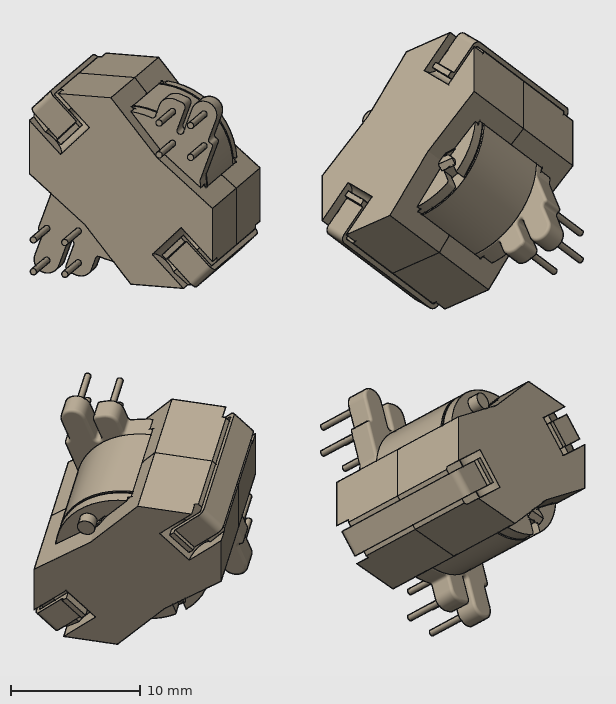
import cadquery as cq
import math

core_half_width = 7.4
core_half_depth = 6.27
corner_reach = 5.33
side_reach = 0.8
flank_kink = 2.92
window_radius = 6.2
window_half_depth = 3.98
post_radius = 3.2
corner_face = (core_half_width + corner_reach) / math.sqrt(2)

seat_half_width = 1.65
groove_radius = 1.19
groove_axis = 6.43
ramp_start = 7.33
ramp_end_depth = 1.22

clip_thickness = 0.39
clip_width = 2.16
clip_half_depth = 5.97
clip_bend_radius = 0.54
clip_arm_end = 6.3
clip_lip_end = 5.78
clip_lip_height = 0.3
clip_lip_lean = 0.06
clip_outer = corner_face + clip_thickness

flange_radius = 6.1
winding_half_length = 3.32
flange_back = 4.42
flange_front = 5.08
flange_edge_radius = 0.24
tube_radius = 3.72
core_gap = 0.12

winding_radius = 6.1

pin_inner = 3.81
pin_outer = 6.36
pin_radius = 0.25
pin_end = 8.62
pin_root = winding_half_length + 0.75

tab_turn = 20
tab_near_side = 0.26
slit_near_side = 2.241
slit_far_side = 2.77
slit_bottom = 6.08
near_tab_end = 8.28
near_tab_top = 7.4
near_tab_level_start = 3.6
near_tab_level_end = 3.72
near_tab_corner = 0.4
lobe_side = 5.32
lobe_end = 6.18
lobe_corner = 0.24
root_along = 2.23
root_fillet = 0.25

peg_radius = 0.68
peg_centre = 3.48
peg_end = 5.35
stub_height = 0.42
stub_end = -3.72
rib_height = 0.42
rib_thickness = 0.24
rib_level_length = 0.68
rib_length = 1.4
notch_near_side = -2.47
notch_far_side = -1.56
notch_bottom = -4.62
notch_mouth = -flange_radius - 0.75
notch_corner = 0.25


def slab(y_low, y_high, plane_turn=0):
    """Workplane facing -Y at y_high, and the thickness down to y_low."""
    turn = math.radians(plane_turn)
    plane = cq.Plane((0, y_high, 0), (math.cos(turn), 0, -math.sin(turn)), (0, -1, 0))
    return cq.Workplane(plane), y_high - y_low


def disc(radius, y_low, y_high):
    work, depth = slab(y_low, y_high)
    return work.circle(radius).extrude(depth)


def half_turn(body):
    """The same body turned half way round the Y axis."""
    return body.rotate((0, 0, 0), (0, 1, 0), 180)


def core_outline(work):
    half = [
        (-corner_reach, core_half_width),
        (-side_reach, core_half_width),
        (flank_kink, flank_kink),
        (core_half_width, -side_reach),
        (core_half_width, -corner_reach),
    ]
    return work.polyline(half + [(-x, -z) for x, z in half]).close()


def corner_plane():
    """Plane through the Y axis: first axis toward the (-X, +Z) corner, second along +Y."""
    return cq.Workplane(cq.Plane((0, 0, 0), (-1, 0, 1), (-1, 0, -1)))


def clip_seat():
    """Cutter for the seat at the (-X, +Z) corner of the -Y face."""
    face = -core_half_depth
    rise = ramp_start - groove_axis
    ramp_start_depth = math.sqrt(groove_radius**2 - rise**2)
    return (
        corner_plane()
        .moveTo(groove_axis - groove_radius, face)
        .threePointArc((groove_axis, face + groove_radius), (ramp_start, face + ramp_start_depth))
        .lineTo(corner_face, face + ramp_end_depth)
        .lineTo(corner_face, face)
        .close()
        .extrude(seat_half_width, both=True)
    )


def make_front_core():
    work, depth = slab(-core_half_depth, 0)
    core = core_outline(work).extrude(depth)
    window = disc(window_radius, -window_half_depth, 0).cut(disc(post_radius, -window_half_depth, 0))
    seat = clip_seat()
    return core.cut(window).cut(seat).cut(half_turn(seat))


def make_clip():
    """Spring clip on the (-X, +Z) corner: a back, two arms and a raised lip at the end of each arm."""
    lip_top = clip_half_depth + clip_lip_height
    arm_inside = clip_half_depth - clip_thickness
    outer_side = [
        (clip_lip_end, -lip_top),
        (clip_arm_end - clip_lip_lean, -lip_top),
        (clip_arm_end, -clip_half_depth),
        (clip_outer, -clip_half_depth),
    ]
    inner_side = [(corner_face, -arm_inside), (clip_lip_end, -arm_inside)]
    points = outer_side + [(u, -y) for u, y in reversed(outer_side)]
    points += [(u, -y) for u, y in reversed(inner_side)] + inner_side
    clip = corner_plane().polyline(points).close().extrude(clip_width / 2, both=True)
    outward = cq.Vector(-1, 0, 1).normalized()
    reach = cq.Vector(0.01, 0.01, 0.01)

    def bend_at(u, y):
        centre = outward * u + cq.Vector(0, y, 0)
        return cq.selectors.BoxSelector((centre - reach).toTuple(), (centre + reach).toTuple())

    for end in (-1, 1):
        clip = clip.edges(bend_at(clip_outer, end * clip_half_depth)).fillet(clip_bend_radius)
        clip = clip.edges(bend_at(corner_face, end * arm_inside)).fillet(clip_bend_radius - clip_thickness)
    return clip


def to_tab_axes(x, z):
    """Across and along positions of a point given by X and Z."""
    turn = math.radians(tab_turn)
    return x * math.cos(turn) - z * math.sin(turn), x * math.sin(turn) + z * math.cos(turn)


def from_tab_axes(across, along):
    """X and Z of a point given by its across and along positions."""
    turn = math.radians(tab_turn)
    return across * math.cos(turn) + along * math.sin(turn), along * math.cos(turn) - across * math.sin(turn)


def terminal_tabs():
    """The two tabs on the (+X, +Z) side, with the slit between them."""
    far_centre, far_along = to_tab_axes(pin_outer, pin_outer)
    far_side = 2 * far_centre - slit_far_side
    turn = math.radians(tab_turn)
    level_start = to_tab_axes(near_tab_level_start, near_tab_top)
    level_end = to_tab_axes(near_tab_level_end, near_tab_top)
    near_round = (level_start[0] - tab_near_side) / (1 - math.sin(turn))
    round_start = to_tab_axes(near_tab_level_start, near_tab_top - near_round)[1]
    tangent = (near_tab_end - level_end[1]) / math.sin(turn)
    end_start = level_end[0] + tangent * (1 + math.cos(turn))
    work, depth = slab(-flange_front, -winding_half_length, tab_turn)
    return (
        work.moveTo(tab_near_side, root_along)
        .lineTo(tab_near_side, round_start)
        .tangentArcPoint(level_start, relative=False)
        .lineTo(*level_end)
        .tangentArcPoint((end_start, near_tab_end), relative=False)
        .lineTo(slit_near_side - near_tab_corner, near_tab_end)
        .tangentArcPoint((slit_near_side, near_tab_end - near_tab_corner), relative=False)
        .lineTo(slit_near_side, slit_bottom)
        .tangentArcPoint((slit_far_side, slit_bottom), relative=False)
        .lineTo(slit_far_side, far_along)
        .tangentArcPoint((far_side, far_along), relative=False)
        .lineTo(far_side, lobe_end + lobe_corner)
        .tangentArcPoint((far_side + lobe_corner, lobe_end), relative=False)
        .lineTo(lobe_side - lobe_corner, lobe_end)
        .tangentArcPoint((lobe_side, lobe_end - lobe_corner), relative=False)
        .lineTo(lobe_side, root_along)
        .close()
        .extrude(depth)
    )


def rim_edge(across, side, y):
    """Selector for the edge along Y where a wall at this place across meets the flange rim.

    The side is 1 for the rim toward +Z and -1 for the rim toward -Z.
    """
    x, z = from_tab_axes(across, side * math.sqrt(flange_radius**2 - across**2))
    return cq.selectors.NearestToPointSelector((x, y, z))


def make_pin_flange():
    tabs = terminal_tabs()
    flange = disc(flange_radius, -flange_front, -winding_half_length).union(tabs).union(half_turn(tabs))
    middle = -(flange_front + winding_half_length) / 2
    for side in (-1, 1):
        for across in (tab_near_side, lobe_side):
            flange = flange.edges("|Y").edges(rim_edge(side * across, side, middle)).fillet(root_fillet)
    return flange.faces(">Y").edges().fillet(flange_edge_radius)


def make_plain_flange():
    flange = disc(flange_radius, winding_half_length, flange_back)
    work, depth = slab(winding_half_length, flange_back, tab_turn)
    notch = (
        work.moveTo(notch_near_side, notch_bottom)
        .lineTo(notch_far_side, notch_bottom)
        .lineTo(notch_far_side, notch_mouth)
        .lineTo(notch_near_side, notch_mouth)
        .close()
        .extrude(depth)
    )
    middle = (winding_half_length + flange_back) / 2
    flange = flange.cut(notch)
    flange = flange.edges("|Y").edges(rim_edge(notch_far_side, -1, middle)).fillet(notch_corner)
    flange = flange.faces("<Y").edges("%CIRCLE").fillet(flange_edge_radius)
    peg = disc(peg_radius, flange_back, peg_end).translate((peg_centre, 0, peg_centre))
    ribs = make_rib()
    ribs = ribs.union(ribs.mirror((1, 0, 1)))
    return flange.union(peg).union(make_stub()).union(ribs)


def make_stub():
    """Short round stub opposite the peg, cut by a 45 degree slope toward -Z."""
    stub = disc(peg_radius, flange_back, flange_back + stub_height)
    stub = stub.translate((-peg_centre, 0, -peg_centre))
    slope = (
        cq.Workplane("YZ")
        .moveTo(flange_back, 0)
        .lineTo(flange_back, stub_end)
        .lineTo(flange_back + stub_height, stub_end + stub_height)
        .lineTo(flange_back + stub_height, 0)
        .close()
        .extrude(-peg_centre - peg_radius)
    )
    return stub.intersect(slope)


def make_rib():
    """Rib that runs from the peg along the core flank and ramps down at its end."""
    along = (-side_reach - flank_kink, 0, core_half_width - flank_kink)
    toward_core = (-along[2], 0, along[0])
    return (
        cq.Workplane(cq.Plane((flank_kink, flange_back, flank_kink), along, toward_core))
        .polyline([(0, 0), (0, rib_height), (rib_level_length, rib_height), (rib_length, 0)])
        .close()
        .extrude(-rib_thickness)
    )


def make_bobbin():
    bobbin = disc(tube_radius, -winding_half_length, winding_half_length)
    bobbin = bobbin.union(make_pin_flange()).union(make_plain_flange())
    for y_low, y_high in ((-flange_front, -window_half_depth), (window_half_depth, peg_end)):
        work, depth = slab(y_low, y_high)
        bobbin = bobbin.cut(core_outline(work).offset2D(core_gap, "intersection").extrude(depth))
    bobbin = bobbin.cut(disc(post_radius, -window_half_depth, window_half_depth))
    work, depth = slab(-pin_end, -pin_root)
    spots = [
        (side * x, side * z)
        for side in (-1, 1)
        for x in (pin_inner, pin_outer)
        for z in (pin_inner, pin_outer)
    ]
    return bobbin.union(work.pushPoints(spots).circle(pin_radius).extrude(depth))


def make_winding():
    return disc(winding_radius, -winding_half_length, winding_half_length).cut(
        disc(tube_radius, -winding_half_length, winding_half_length)
    )


front_core = make_front_core()
back_core = front_core.mirror("XZ")
clip = make_clip()
clips = [clip, half_turn(clip)]
bobbin = make_bobbin()
winding = make_winding()

result = cq.Compound.makeCompound(
    [front_core.val(), back_core.val(), bobbin.val(), winding.val(), *[c.val() for c in clips]]
)